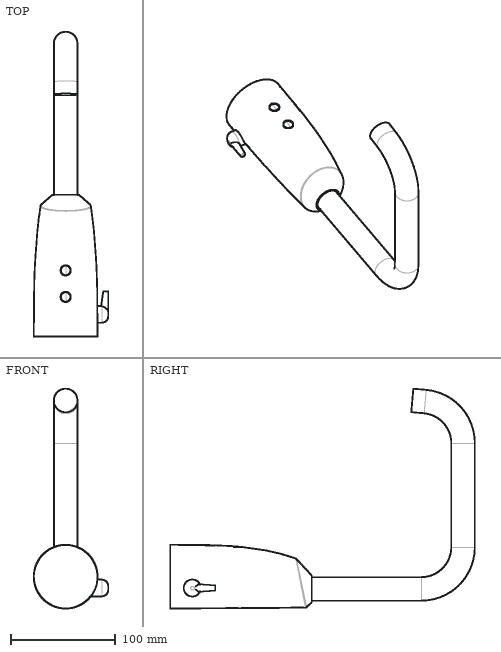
import cadquery as cq
import math


base_radius = 30.7
crown_end_y = 121.0
crown_end_z = 17.5
belly_end_y = 130.5
belly_end_z = -29.9
crown_power = 3.3
shoulder_rounding = 1.5
section_fractions = (0, 0.2, 0.4, 0.6, 0.8, 1)

tube_radius = 11.5
tube_z = -11.7
tube_far_y = 292.7
bend_radius = 40.0
upright_length = 99.8
outlet_bend_angle = 85.0
outlet_length = 12.3
collar_radius = 13.0
collar_y = 136.0

button_radius = 5.0
button_positions = (38.0, 63.5)
button_groove_width = 0.45
button_groove_depth = 1.0

post_radius = 8.2
post_y = 21.5
post_z = -10.8
post_rounding = 6.5
lever_outer_x = 41.0
arm_root_radius = 4.0
arm_tip_radius = 2.5
arm_tip_y = 43.5
arm_tip_rounding = 1.0


def crown_height(fraction):
    """Height of the upper outline, falling away from the base to the shoulder."""
    return base_radius - (base_radius - crown_end_z) * fraction ** crown_power


def body_section(fraction):
    """Circle spanning the crown and belly outlines at one station."""
    crown_y = crown_end_y * fraction
    crown_z = crown_height(fraction)
    belly_y = belly_end_y * fraction
    belly_z = -base_radius + (base_radius + belly_end_z) * fraction
    rise = crown_z - belly_z
    setback = belly_y - crown_y
    centre = cq.Vector(0, (crown_y + belly_y) / 2, (crown_z + belly_z) / 2)
    radius = math.hypot(rise, setback) / 2
    return cq.Wire.makeCircle(radius, centre, cq.Vector(0, rise, setback))


def make_body():
    grip = cq.Solid.makeLoft([body_section(f) for f in section_fractions])
    collar = cq.Wire.makeCircle(collar_radius, cq.Vector(0, collar_y, tube_z), cq.Vector(0, 1, 0))
    shoulder = cq.Solid.makeLoft([body_section(1), collar], True)
    body = cq.Workplane(obj=grip).union(cq.Workplane(obj=shoulder))
    shoulder_centre = (0, (crown_end_y + belly_end_y) / 2, (crown_end_z + belly_end_z) / 2)
    shoulder_edge = cq.selectors.NearestToPointSelector(shoulder_centre)
    return body.edges(shoulder_edge).fillet(shoulder_rounding)


def make_tube():
    upright_y = tube_far_y - tube_radius
    bend_y = upright_y - bend_radius
    lower_bend_z = tube_z + bend_radius
    upper_bend_z = lower_bend_z + upright_length

    def upper_bend_point(angle):
        turn = math.radians(angle)
        return (bend_y + bend_radius * math.cos(turn), upper_bend_z + bend_radius * math.sin(turn))

    lower_bend_mid = (
        bend_y + bend_radius * math.sin(math.pi / 4),
        lower_bend_z - bend_radius * math.cos(math.pi / 4),
    )
    outlet_start = upper_bend_point(outlet_bend_angle)
    outlet_turn = math.radians(outlet_bend_angle)
    outlet_end = (
        outlet_start[0] - outlet_length * math.sin(outlet_turn),
        outlet_start[1] + outlet_length * math.cos(outlet_turn),
    )
    path = (
        cq.Workplane("YZ")
        .moveTo(crown_end_y, tube_z)
        .lineTo(bend_y, tube_z)
        .threePointArc(lower_bend_mid, (upright_y, lower_bend_z))
        .lineTo(upright_y, upper_bend_z)
        .threePointArc(upper_bend_point(outlet_bend_angle / 2), outlet_start)
        .lineTo(*outlet_end)
    )
    return cq.Workplane("XZ", origin=(0, crown_end_y, tube_z)).circle(tube_radius).sweep(path)


def make_button_grooves():
    """Fine rings that outline the flush buttons."""
    grooves = cq.Workplane("XY")
    for button_y in button_positions:
        groove_bottom = crown_height(button_y / crown_end_y) - button_groove_depth
        ring = (
            cq.Workplane("XY", origin=(0, button_y, groove_bottom))
            .circle(button_radius)
            .circle(button_radius - button_groove_width)
            .extrude(base_radius - groove_bottom)
        )
        grooves = grooves.add(ring)
    return grooves.combine()


def make_lever():
    post = (
        cq.Workplane("YZ", origin=(0, post_y, post_z))
        .circle(post_radius)
        .extrude(lever_outer_x)
        .faces(">X")
        .edges()
        .fillet(post_rounding)
    )
    root = cq.Wire.makeCircle(
        arm_root_radius,
        cq.Vector(lever_outer_x - arm_root_radius, post_y, post_z),
        cq.Vector(0, 1, 0),
    )
    tip = cq.Wire.makeCircle(
        arm_tip_radius,
        cq.Vector(lever_outer_x - arm_tip_radius, arm_tip_y, post_z),
        cq.Vector(0, 1, 0),
    )
    arm = cq.Workplane(obj=cq.Solid.makeLoft([root, tip], True))
    arm = arm.faces(">Y").edges().fillet(arm_tip_rounding)
    return post.union(arm)


result = make_body().union(make_tube()).union(make_lever()).cut(make_button_grooves())